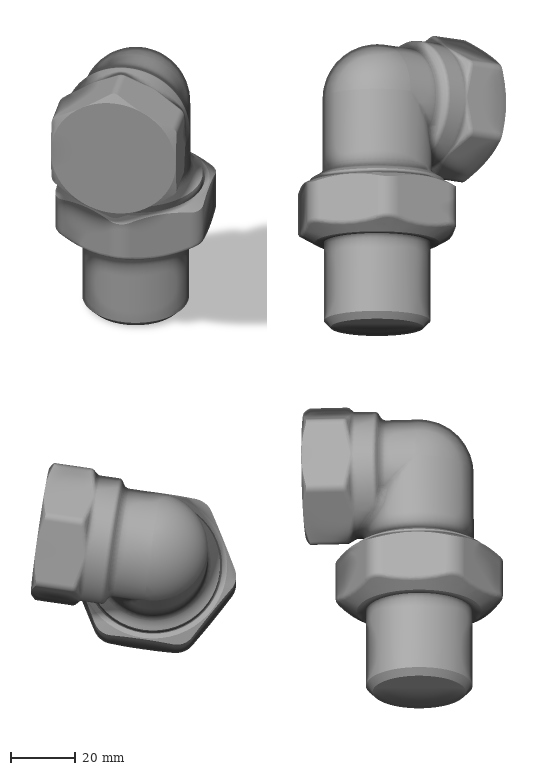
import cadquery as cq
import math


SWING = 7.85
ARM_HEIGHT = 72.5
ARM_LENGTH = 35.5
TUBE_RADIUS = 17.0
CONE_ANGLE = 30
CONE_RISE = math.tan(math.radians(CONE_ANGLE))

TAIL_RADIUS = 16.6
TAIL_CHAMFER = 2.1

NUT_BOTTOM = 26.8
NUT_TOP = 44.8
NUT_FLATS = 46.9
NUT_CORNER_ROUND = 6.5
NUT_FOOT_RADIUS = 19.5
NUT_FOOT_ROUND = 1.4
NUT_RIM_RADIUS = 23.1
SOCKET_RADIUS = 20.9
SOCKET_DEPTH = 9.0
LEAD_IN_WIDTH = 0.7
LEAD_IN_DEPTH = 1.4

FLANGE_TOP = 46.6
FLANGE_NECK_ROUND = 2.1

COLLAR_RADIUS = 19.8
COLLAR_START = 11.1
COLLAR_ROUND = 1.3
CROTCH_ROUND = 1.9
HEX_FLATS = 39.7
HEX_CORNER_ROUND = 2.7
HEX_START = 20.1
HEX_INNER_ROUND = 0.95
HEX_OUTER_ROUND = 1.4
PLUG_RADIUS = 17.1

HALF_SIDE_ANGLE = 30

SOCKET_FLOOR = NUT_TOP - SOCKET_DEPTH
COLLAR_FULL = COLLAR_START + (COLLAR_RADIUS - TUBE_RADIUS) * CONE_RISE
PLUG_LENGTH = ARM_LENGTH - HEX_START
MARGIN = 0.1


def turned(profile):
    """Solid of revolution about Z from (radius, height) points."""
    return cq.Workplane("XZ").polyline(profile).close().revolve(360, (0, 0, 0), (0, 1, 0))


def disc(radius, bottom, top):
    return cq.Workplane("XY").workplane(offset=bottom).circle(radius).extrude(top - bottom)


def corner_radius(flats):
    """Distance from the centre of a sharp hexagon to its corners."""
    return flats / 2 / math.cos(math.radians(HALF_SIDE_ANGLE))


def hexagon_bar(flats, corner_round, bottom, top):
    """Hexagonal bar along Z with rounded edges and two corners on the Y axis."""
    bar = cq.Workplane("XY").polygon(6, 2 * corner_radius(flats)).extrude(top - bottom)
    bar = bar.edges("|Z").fillet(corner_round)
    return bar.rotate((0, 0, 0), (0, 0, 1), HALF_SIDE_ANGLE).translate((0, 0, bottom))


def box_between(half_width, bottom, top):
    """Selector of what lies wholly between two heights, around the Z axis."""
    return cq.selectors.BoxSelector(
        (-half_width, -half_width, bottom), (half_width, half_width, top), boundingbox=True)


def round_ring(body, radius, height, size):
    """Round the circular edge of this radius at this height."""
    ring = box_between(radius + MARGIN, height - MARGIN, height + MARGIN)
    return body.edges(ring).edges("%CIRCLE").fillet(size)


def make_tailpiece():
    tail = disc(TAIL_RADIUS, 0, SOCKET_FLOOR)
    return tail.faces("<Z").chamfer(TAIL_CHAMFER)


def make_nut():
    corner = corner_radius(NUT_FLATS)
    foot_cone_top = NUT_BOTTOM + (corner - NUT_FOOT_RADIUS) * CONE_RISE
    rim_cone_bottom = NUT_TOP - (corner - NUT_RIM_RADIUS) * CONE_RISE
    blank = turned([
        (0, NUT_BOTTOM), (NUT_FOOT_RADIUS, NUT_BOTTOM), (corner, foot_cone_top),
        (corner, rim_cone_bottom), (NUT_RIM_RADIUS, NUT_TOP), (0, NUT_TOP)])
    nut = blank.intersect(hexagon_bar(NUT_FLATS, NUT_CORNER_ROUND, NUT_BOTTOM, NUT_TOP))
    foot_edges = box_between(corner, NUT_BOTTOM + MARGIN, foot_cone_top + MARGIN)
    nut = nut.edges(foot_edges).fillet(NUT_FOOT_ROUND)

    bore = turned([
        (0, SOCKET_FLOOR), (SOCKET_RADIUS, SOCKET_FLOOR), (SOCKET_RADIUS, NUT_TOP - LEAD_IN_DEPTH),
        (SOCKET_RADIUS + LEAD_IN_WIDTH, NUT_TOP), (0, NUT_TOP)])
    return nut.cut(bore).cut(disc(TAIL_RADIUS, NUT_BOTTOM, SOCKET_FLOOR))


def make_leg():
    """Upright leg with its flange, up to the arm axis."""
    cone_top = FLANGE_TOP + (SOCKET_RADIUS - TUBE_RADIUS) * CONE_RISE
    leg = turned([
        (0, SOCKET_FLOOR), (SOCKET_RADIUS, SOCKET_FLOOR), (SOCKET_RADIUS, FLANGE_TOP),
        (TUBE_RADIUS, cone_top), (TUBE_RADIUS, ARM_HEIGHT), (0, ARM_HEIGHT)])
    return round_ring(leg, TUBE_RADIUS, cone_top, FLANGE_NECK_ROUND)


def make_arm():
    """Arm with collar and hexagon, standing along Z from the elbow centre."""
    corner = corner_radius(HEX_FLATS)
    face = HEX_FLATS / 2
    hex_full = HEX_START + (corner - COLLAR_RADIUS) * CONE_RISE
    blank = turned([
        (0, 0), (TUBE_RADIUS, 0), (TUBE_RADIUS, COLLAR_START), (COLLAR_RADIUS, COLLAR_FULL),
        (COLLAR_RADIUS, HEX_START), (corner, hex_full),
        (corner, ARM_LENGTH - (corner - face) * CONE_RISE), (face, ARM_LENGTH), (0, ARM_LENGTH)])
    blank = round_ring(blank, COLLAR_RADIUS, COLLAR_FULL, COLLAR_ROUND)
    blank = round_ring(blank, COLLAR_RADIUS, HEX_START, HEX_INNER_ROUND)
    arm = blank.intersect(hexagon_bar(HEX_FLATS, HEX_CORNER_ROUND, 0, ARM_LENGTH))
    hex_edges = box_between(corner, HEX_START, hex_full + MARGIN)
    return arm.edges(hex_edges).fillet(HEX_OUTER_ROUND)


def along_arm(body):
    """Lay a body that stands along Z onto the arm axis."""
    return body.rotate((0, 0, 0), (1, 0, 0), 90).translate((0, 0, ARM_HEIGHT))


def make_elbow():
    ball = cq.Workplane("XY").sphere(TUBE_RADIUS).translate((0, 0, ARM_HEIGHT))
    elbow = make_leg().union(along_arm(make_arm())).union(ball)

    reach = TUBE_RADIUS + MARGIN
    crotch = cq.selectors.BoxSelector(
        (-reach, -reach, ARM_HEIGHT - COLLAR_RADIUS - MARGIN), (reach, MARGIN, ARM_HEIGHT + reach),
        boundingbox=True)
    ball_rim = cq.selectors.BoxSelector(
        (-reach, -MARGIN, ARM_HEIGHT - reach), (reach, MARGIN, ARM_HEIGHT + reach), boundingbox=True)
    inner_corners = crotch - ball_rim - cq.selectors.TypeSelector("LINE")
    elbow = elbow.edges(inner_corners).fillet(CROTCH_ROUND)
    return elbow.cut(make_plug())


def make_plug():
    return along_arm(disc(PLUG_RADIUS, ARM_LENGTH - PLUG_LENGTH, ARM_LENGTH))


def swung(body):
    """The body's solid, turned to its final direction."""
    return body.rotate((0, 0, 0), (0, 0, 1), SWING).solids().val()


elbow = swung(make_elbow())
plug = swung(make_plug())
nut = swung(make_nut())
tailpiece = swung(make_tailpiece())

result = cq.Compound.makeCompound([elbow, plug, nut, tailpiece])